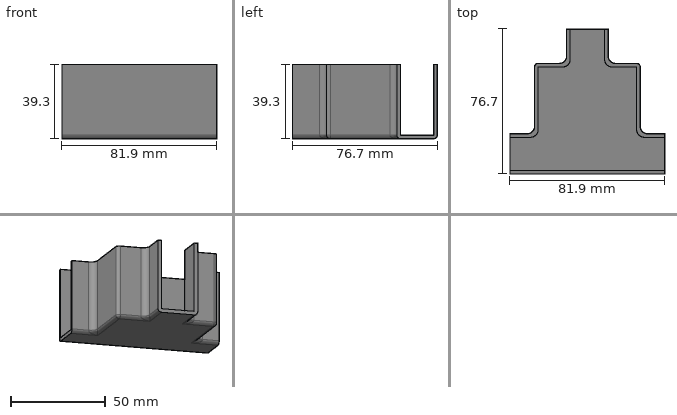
import cadquery as cq

length = 81.9
depth = 76.7
height = 39.3
wall = 2.0

channel_depth = 21.45
body_width = 56.0
body_back = 58.6
neck_width = 22.1

outer_corner_radius = 2.0
bottom_edge_radius = 2.0
outer_bend_radius = 3.7
inner_bend_radius = 4.0

front = -depth / 2
back = depth / 2
channel_back = front + channel_depth
body_end = front + body_back


def stepped_prism(inset, overrun, base_z):
    """T-shaped prism inset from the side walls; overrun extends it past the open ends."""
    end_x = length / 2 + overrun
    body_x = body_width / 2 - inset
    neck_x = neck_width / 2 - inset
    end_y = back + overrun
    right_side = [
        (end_x, front + inset),
        (end_x, channel_back - inset),
        (body_x, channel_back - inset),
        (body_x, body_end - inset),
        (neck_x, body_end - inset),
        (neck_x, end_y),
    ]
    left_side = [(-x, y) for x, y in reversed(right_side)]
    return (
        cq.Workplane("XY")
        .workplane(offset=base_z)
        .polyline(right_side + left_side)
        .close()
        .extrude(height - base_z)
    )


def vertical_edges_at(solid, corners):
    """Select the vertical edges at the given corners and their mirror images."""
    probe = 0.1
    selector = None
    for x, y in corners:
        for side in (-1, 1):
            box = cq.selectors.BoxSelector(
                (side * x - probe, y - probe, 0),
                (side * x + probe, y + probe, height),
            )
            selector = box if selector is None else selector + box
    return solid.edges("|Z").edges(selector)


def bend_corners(inset):
    """Re-entrant corners where the outline steps inward."""
    return [
        (body_width / 2 - inset, channel_back - inset),
        (neck_width / 2 - inset, body_end - inset),
    ]


outer = stepped_prism(0, 0, 0)
outer = vertical_edges_at(outer, [(body_width / 2, body_end)]).fillet(outer_corner_radius)

open_end_edges = (
    cq.selectors.DirectionMinMaxSelector(cq.Vector(1, 0, 0), True)
    + cq.selectors.DirectionMinMaxSelector(cq.Vector(1, 0, 0), False)
    + cq.selectors.DirectionMinMaxSelector(cq.Vector(0, 1, 0), True)
)
rounded_edges = cq.selectors.InverseSelector(open_end_edges)
outer = outer.faces("<Z").edges(rounded_edges).fillet(bottom_edge_radius)

outer = vertical_edges_at(outer, bend_corners(0)).fillet(outer_bend_radius)

cavity = stepped_prism(wall, wall, wall)
cavity = vertical_edges_at(cavity, bend_corners(wall)).fillet(inner_bend_radius)

result = outer.cut(cavity)